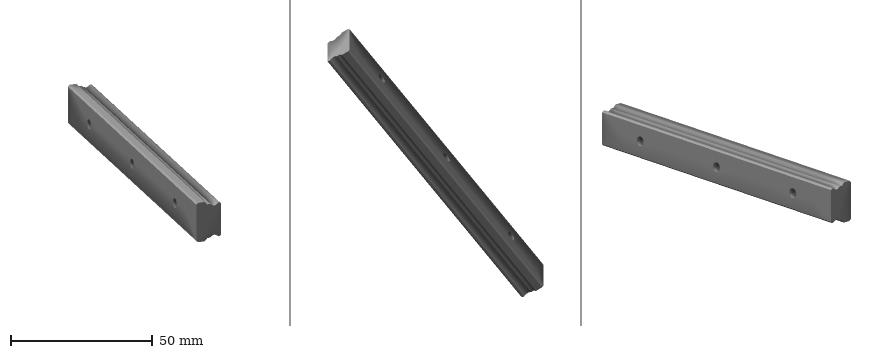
import cadquery as cq

length = 120.0
depth = 9.5
height = 15.0
base_chamfer = 0.6
head_chamfer = 0.5

shoulder_step = 1.1
shoulder_start = 3.2
shoulder_end = 4.2
groove_start = 5.4
groove_end = 8.3
groove_depth = 0.8
groove_flank_sag = 0.18

hole_diameter = 3.6
hole_count = 3
hole_pitch = length / hole_count

base_half = height / 2
head_half = base_half - shoulder_step
groove_half = head_half - groove_depth
groove_middle = (groove_start + groove_end) / 2


def rail_half():
    """Upper half of the rail, with a two-arc groove in the head."""
    return (
        cq.Workplane("YZ", origin=(-length / 2, 0, 0))
        .moveTo(0, 0)
        .lineTo(0, base_half - base_chamfer)
        .lineTo(base_chamfer, base_half)
        .lineTo(shoulder_start, base_half)
        .lineTo(shoulder_end, head_half)
        .lineTo(groove_start, head_half)
        .sagittaArc((groove_middle, groove_half), -groove_flank_sag)
        .sagittaArc((groove_end, head_half), -groove_flank_sag)
        .lineTo(depth - head_chamfer, head_half)
        .lineTo(depth, head_half - head_chamfer)
        .lineTo(depth, 0)
        .close()
        .extrude(length)
    )


def mounting_holes():
    """Evenly spaced through holes along Y."""
    return (
        cq.Workplane("XZ")
        .rarray(hole_pitch, 1.2, hole_count, 1)
        .circle(hole_diameter / 2)
        .extrude(-depth)
    )


upper_half = rail_half()
rail = upper_half.union(upper_half.mirror("XY")).clean()
result = rail.cut(mounting_holes())